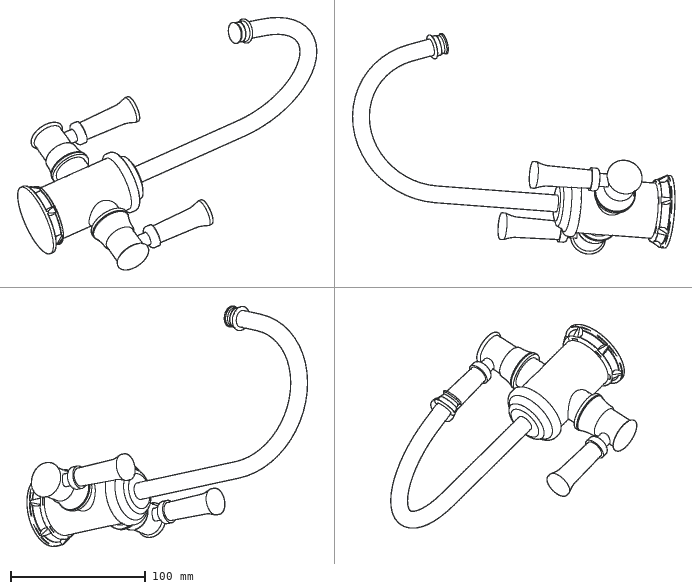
import cadquery as cq
import math

BODY_RADIUS = 20.7

BASE_RADIUS = 27.1
FLANGE_THICKNESS = 2.7
FLANGE_ROUND = 0.4
BASE_HEIGHT = 11.4
BASE_STEP_RADIUS = 24.3
BASE_STEP_TOP = 3.3
BASE_NECK_RADIUS = 22.4
BASE_NECK_BOTTOM = 7.2
BASE_BEAD_RADIUS = 23.4
BASE_BEAD_START = 9.2
BASE_TOP_ROUND = 1.6
RIB_COUNT = 6
RIB_ROOT_WIDTH = 5.6
RIB_CREST_WIDTH = 1.6
RIB_TOP_RADIUS = 22.5
RIB_FOOT_HEIGHT = 3.4

CAP_RADIUS = 23.7
CAP_BOTTOM = 70.3
CAP_RIM_TOP = 73.9
CAP_SHOULDER_RADIUS = 20.6
CAP_SHOULDER_HEIGHT = 77.1
CAP_NECK_RADIUS = 16.9
CAP_NECK_HEIGHT = 82.4
CAP_COVE_RADIUS = 10.6
CAP_TOP_RADIUS = 13.2
CAP_TOP = 84.2
CAP_EDGE_ROUND = 0.5

ARM_SPAN = 133.1
ARM_HEIGHT = 46.5
ARM_RADIUS = 11.6
ARM_ROOT_RADIUS = 12.4
ARM_COLLAR_START = 29.0
ARM_COLLAR_WIDTH = 2.4
ARM_COLLAR_RADIUS = 15.4
ARM_SLEEVE_RADIUS = 12.8
ARM_FLARE_START = 32.2
ARM_FLARE_RADIUS = 15.0
ARM_SLEEVE_END = 45.2
ARM_SLEEVE_ROUND = 1.8
ARM_BEAD_RADIUS = 13.3
ARM_BEAD_WIDTH = 2.8

HANDLE_OFFSET = 55.5
STEM_RADIUS = 4.9
HANDLE_COLLAR_BOTTOM = 64.5
HANDLE_COLLAR_TOP = 70.6
HANDLE_COLLAR_RADIUS = 8.55
HANDLE_COLLAR_ROUND = 2.3
GRIP_BOTTOM_RADIUS = 6.9
GRIP_TOP_RADIUS = 7.7
GRIP_TOP = 104.1
KNOB_NECK_RADIUS = 8.5
KNOB_NECK_HEIGHT = 107.8
KNOB_RADIUS = 10.0
KNOB_RIM_BOTTOM = 112.2
KNOB_TOP = 115.0
KNOB_TOP_ROUND = 0.6

SPOUT_RADIUS = 6.35
SPOUT_BEND_RADIUS = 57.15
SPOUT_REACH = 239.4
SPOUT_BEND_ANGLE = 160.0
SPOUT_END_STRAIGHT = 16.7

OUTLET_LENGTH = 10.8
OUTLET_RING_RADIUS = 9.2
OUTLET_RING_WIDTH = 1.8
OUTLET_BARREL_RADIUS = 7.7
OUTLET_BARREL_END = 5.4
OUTLET_NECK_RADIUS = 7.3
OUTLET_WAIST_RADIUS = 6.8
OUTLET_WAIST_END = 8.2
OUTLET_LIP_START = 9.6
OUTLET_LIP_RADIUS = 8.0


def revolve_about_y(outline):
    """Turn a closed (radius, height) outline fully around the Y axis."""
    return outline.close().revolve(360, (0, 0, 0), (0, 1, 0))


def base_ring():
    """Flange, cove and top bead of the base."""
    cove_radius = BASE_NECK_BOTTOM - BASE_STEP_TOP
    return revolve_about_y(
        cq.Workplane("XY")
        .lineTo(BASE_RADIUS, 0)
        .lineTo(BASE_RADIUS, FLANGE_THICKNESS - FLANGE_ROUND)
        .radiusArc((BASE_RADIUS - FLANGE_ROUND, FLANGE_THICKNESS), -FLANGE_ROUND)
        .lineTo(BASE_STEP_RADIUS, FLANGE_THICKNESS)
        .lineTo(BASE_STEP_RADIUS, BASE_STEP_TOP)
        .radiusArc((BASE_NECK_RADIUS, BASE_NECK_BOTTOM), cove_radius)
        .lineTo(BASE_NECK_RADIUS, BASE_BEAD_START)
        .lineTo(BASE_BEAD_RADIUS, BASE_BEAD_START)
        .lineTo(BASE_BEAD_RADIUS, BASE_HEIGHT - BASE_TOP_ROUND)
        .radiusArc((BASE_BEAD_RADIUS - BASE_TOP_ROUND, BASE_HEIGHT), -BASE_TOP_ROUND)
        .lineTo(0, BASE_HEIGHT)
    )


def base_ribs():
    """Ribs that narrow outward, trimmed to a common cone."""
    cone = revolve_about_y(
        cq.Workplane("XY")
        .lineTo(BASE_RADIUS, 0)
        .lineTo(BASE_RADIUS, RIB_FOOT_HEIGHT)
        .lineTo(RIB_TOP_RADIUS, BASE_HEIGHT)
        .lineTo(0, BASE_HEIGHT)
    )
    wedge = (
        cq.Workplane("XZ")
        .moveTo(0, -RIB_ROOT_WIDTH / 2)
        .lineTo(BASE_NECK_RADIUS, -RIB_ROOT_WIDTH / 2)
        .lineTo(BASE_RADIUS, -RIB_CREST_WIDTH / 2)
        .lineTo(BASE_RADIUS, RIB_CREST_WIDTH / 2)
        .lineTo(BASE_NECK_RADIUS, RIB_ROOT_WIDTH / 2)
        .lineTo(0, RIB_ROOT_WIDTH / 2)
        .close()
        .extrude(-BASE_HEIGHT)
    )
    rib = wedge.intersect(cone)
    ribs = rib
    for index in range(1, RIB_COUNT):
        ribs = ribs.union(rib.rotate((0, 0, 0), (0, 1, 0), index * 360 / RIB_COUNT))
    return ribs


def body_and_cap():
    """Cylindrical body under a cap with a rounded shoulder and a cove above it."""
    shoulder_round = CAP_SHOULDER_HEIGHT - CAP_RIM_TOP
    return revolve_about_y(
        cq.Workplane("XY")
        .lineTo(BODY_RADIUS, 0)
        .lineTo(BODY_RADIUS, CAP_BOTTOM)
        .lineTo(CAP_RADIUS - CAP_EDGE_ROUND, CAP_BOTTOM)
        .radiusArc((CAP_RADIUS, CAP_BOTTOM + CAP_EDGE_ROUND), -CAP_EDGE_ROUND)
        .lineTo(CAP_RADIUS, CAP_RIM_TOP)
        .radiusArc((CAP_SHOULDER_RADIUS, CAP_SHOULDER_HEIGHT), -shoulder_round)
        .radiusArc((CAP_NECK_RADIUS, CAP_NECK_HEIGHT), CAP_COVE_RADIUS)
        .lineTo(CAP_TOP_RADIUS, CAP_TOP)
        .lineTo(0, CAP_TOP)
    )


def valve_arm():
    """Arm along +X; modelled upright as (radius, distance from body axis), then tipped over."""
    tip = ARM_SPAN / 2
    bead_start = tip - ARM_BEAD_WIDTH
    bead_round = ARM_BEAD_WIDTH / 2
    collar_end = ARM_COLLAR_START + ARM_COLLAR_WIDTH
    flare_end = ARM_SLEEVE_END - ARM_SLEEVE_ROUND
    flare_length = flare_end - ARM_FLARE_START
    flare_depth = ARM_FLARE_RADIUS - ARM_SLEEVE_RADIUS
    flare_arc_radius = (flare_length**2 + flare_depth**2) / (2 * flare_depth)
    upright = revolve_about_y(
        cq.Workplane("XY")
        .lineTo(ARM_ROOT_RADIUS, 0)
        .lineTo(ARM_ROOT_RADIUS, ARM_COLLAR_START)
        .lineTo(ARM_COLLAR_RADIUS, ARM_COLLAR_START)
        .lineTo(ARM_COLLAR_RADIUS, collar_end)
        .lineTo(ARM_FLARE_RADIUS, collar_end)
        .lineTo(ARM_FLARE_RADIUS, ARM_FLARE_START)
        .radiusArc((ARM_SLEEVE_RADIUS, flare_end), flare_arc_radius)
        .radiusArc((ARM_RADIUS, ARM_SLEEVE_END), -ARM_SLEEVE_ROUND)
        .lineTo(ARM_RADIUS, bead_start)
        .lineTo(ARM_BEAD_RADIUS - bead_round, bead_start)
        .threePointArc((ARM_BEAD_RADIUS, bead_start + bead_round), (ARM_BEAD_RADIUS - bead_round, tip))
        .lineTo(0, tip)
    )
    return upright.rotate((0, 0, 0), (0, 0, 1), -90).translate((0, ARM_HEIGHT, 0))


def handle():
    """Lever on the +X arm: stem, collar, tapered grip and flared knob."""
    rounded_radius = HANDLE_COLLAR_RADIUS - HANDLE_COLLAR_ROUND
    upright = revolve_about_y(
        cq.Workplane("XY")
        .moveTo(0, ARM_HEIGHT)
        .lineTo(STEM_RADIUS, ARM_HEIGHT)
        .lineTo(STEM_RADIUS, HANDLE_COLLAR_BOTTOM)
        .lineTo(rounded_radius, HANDLE_COLLAR_BOTTOM)
        .radiusArc((HANDLE_COLLAR_RADIUS, HANDLE_COLLAR_BOTTOM + HANDLE_COLLAR_ROUND), -HANDLE_COLLAR_ROUND)
        .lineTo(HANDLE_COLLAR_RADIUS, HANDLE_COLLAR_TOP)
        .lineTo(GRIP_BOTTOM_RADIUS, HANDLE_COLLAR_TOP)
        .lineTo(GRIP_TOP_RADIUS, GRIP_TOP)
        .lineTo(KNOB_NECK_RADIUS, KNOB_NECK_HEIGHT)
        .lineTo(KNOB_RADIUS, KNOB_RIM_BOTTOM)
        .lineTo(KNOB_RADIUS, KNOB_TOP - KNOB_TOP_ROUND)
        .radiusArc((KNOB_RADIUS - KNOB_TOP_ROUND, KNOB_TOP), -KNOB_TOP_ROUND)
        .lineTo(0, KNOB_TOP)
    )
    return upright.translate((HANDLE_OFFSET, 0, 0))


def outlet():
    """Ringed outlet along +Y, starting at the origin."""
    ring_round = OUTLET_RING_WIDTH / 2
    lip_round = (OUTLET_LENGTH - OUTLET_LIP_START) / 2
    return revolve_about_y(
        cq.Workplane("XY")
        .lineTo(OUTLET_RING_RADIUS - ring_round, 0)
        .threePointArc(
            (OUTLET_RING_RADIUS, ring_round),
            (OUTLET_RING_RADIUS - ring_round, OUTLET_RING_WIDTH),
        )
        .lineTo(OUTLET_BARREL_RADIUS, OUTLET_RING_WIDTH)
        .lineTo(OUTLET_BARREL_RADIUS, OUTLET_BARREL_END)
        .lineTo(OUTLET_NECK_RADIUS, OUTLET_BARREL_END)
        .lineTo(OUTLET_WAIST_RADIUS, OUTLET_WAIST_END)
        .lineTo(OUTLET_LIP_RADIUS - lip_round, OUTLET_LIP_START)
        .threePointArc(
            (OUTLET_LIP_RADIUS, OUTLET_LIP_START + lip_round),
            (OUTLET_LIP_RADIUS - lip_round, OUTLET_LENGTH),
        )
        .lineTo(0, OUTLET_LENGTH)
    )


def spout_with_outlet():
    """Tube that leaves the cap along +Y and bends back, with the outlet on its end."""
    bend_y = SPOUT_REACH - SPOUT_RADIUS - SPOUT_BEND_RADIUS

    def on_bend(angle):
        turn = math.radians(angle)
        return (
            bend_y + SPOUT_BEND_RADIUS * math.sin(turn),
            SPOUT_BEND_RADIUS * (1 - math.cos(turn)),
        )

    bend_end = on_bend(SPOUT_BEND_ANGLE)
    heading = math.radians(SPOUT_BEND_ANGLE)
    tip = (
        bend_end[0] + SPOUT_END_STRAIGHT * math.cos(heading),
        bend_end[1] + SPOUT_END_STRAIGHT * math.sin(heading),
    )
    path = (
        cq.Workplane("YZ")
        .moveTo(CAP_BOTTOM, 0)
        .lineTo(bend_y, 0)
        .threePointArc(on_bend(SPOUT_BEND_ANGLE / 2), bend_end)
        .lineTo(*tip)
    )
    tube = cq.Workplane("XZ", origin=(0, CAP_BOTTOM, 0)).circle(SPOUT_RADIUS).sweep(path)
    tilted_outlet = outlet().rotate((0, 0, 0), (1, 0, 0), SPOUT_BEND_ANGLE).translate((0, *tip))
    return tube.union(tilted_outlet)


side = valve_arm().union(handle())
result = (
    base_ring()
    .union(base_ribs())
    .union(body_and_cap())
    .union(side)
    .union(side.mirror("YZ"))
    .union(spout_with_outlet())
)